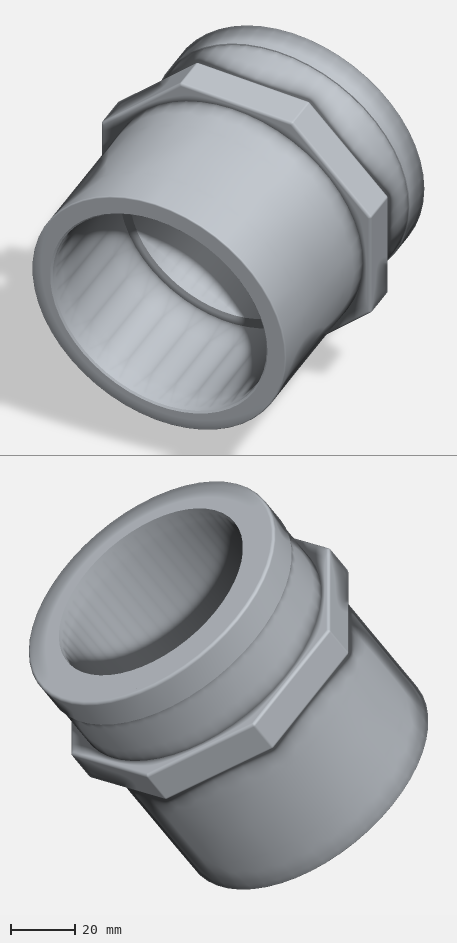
import cadquery as cq
import math


overall_length = 91.5
collar_start = 51.0
collar_length = 11.9
ring_length = 10.3
socket_depth = 44.2
ring_start = overall_length - ring_length

collar_sides = 8
collar_width = 95.5
tube_diameter = 90.0
spigot_end_diameter = 89.9
ring_diameter = 91.0
ring_thickness = 2.0
seat_diameter = ring_diameter - 2 * ring_thickness

mouth_diameter = 77.0
socket_diameter = 75.7
socket_end_diameter = 75.2
bore_diameter = 68.0

collar_fillet = 1.0
ring_fillet = 1.0
spigot_fillet = 0.5
mouth_chamfer_length = 0.6


def cylinder_along_y(diameter, start, end):
    """Solid cylinder on the Y axis between two Y positions."""
    return cq.Workplane("XZ", origin=(0, start, 0)).circle(diameter / 2).extrude(start - end)


def revolve_around_y(profile):
    """Solid of revolution around the Y axis from (radius, Y) points."""
    return cq.Workplane("XY").polyline(profile).close().revolve(360, (0, 0, 0), (0, 1, 0))


def make_spigot():
    """Slightly tapered outside of the socket end, with its mouth edge rounded."""
    profile = [
        (0, 0),
        (spigot_end_diameter / 2, 0),
        (tube_diameter / 2, collar_start),
        (0, collar_start),
    ]
    return revolve_around_y(profile).faces("<Y").edges().fillet(spigot_fillet)


def make_collar():
    """Octagonal wrench collar with flats facing X and Z, and all its edges rounded."""
    corner_diameter = collar_width / math.cos(math.pi / collar_sides)
    return (
        cq.Workplane("XZ", origin=(0, collar_start, 0))
        .transformed(rotate=(0, 0, 180 / collar_sides))
        .polygon(collar_sides, corner_diameter)
        .extrude(-collar_length)
        .edges()
        .fillet(collar_fillet)
    )


def make_bore():
    """Chamfered mouth, tapered pipe socket and the narrower bore behind its stop shoulder."""
    profile = [
        (0, 0),
        (mouth_diameter / 2, 0),
        (socket_diameter / 2, mouth_chamfer_length),
        (socket_end_diameter / 2, socket_depth),
        (bore_diameter / 2, socket_depth),
        (bore_diameter / 2, overall_length),
        (0, overall_length),
    ]
    return revolve_around_y(profile)


def make_housing():
    """Tube with its collar, bored through and stepped down at the +Y end to seat the ring."""
    rear_tube = cylinder_along_y(tube_diameter, collar_start, ring_start)
    ring_seat = cylinder_along_y(seat_diameter, ring_start, overall_length)
    outside = make_spigot().union(rear_tube).union(ring_seat).union(make_collar())
    return outside.cut(make_bore())


def make_ring():
    """Reinforcing ring around the +Y end, with its outer end edge rounded."""
    blank = cylinder_along_y(ring_diameter, ring_start, overall_length)
    rounded_blank = blank.faces(">Y").edges().fillet(ring_fillet)
    return rounded_blank.cut(cylinder_along_y(seat_diameter, ring_start, overall_length))


housing = make_housing().solids()
ring = make_ring().solids()

result = cq.Compound.makeCompound([housing.val(), ring.val()])